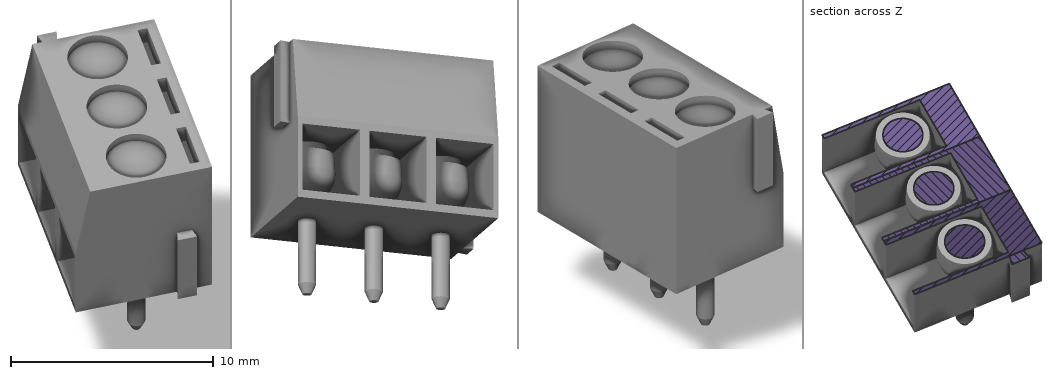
import cadquery as cq

POLE_COUNT = 3
PITCH = 3.5
BLOCK_WIDTH = POLE_COUNT * PITCH
DEPTH = 7.0
TOTAL_HEIGHT = 12.2
PIN_LENGTH = 3.8
HEIGHT = TOTAL_HEIGHT - PIN_LENGTH
HALF_HEIGHT = HEIGHT / 2
AXIS_Y = 3.6

SLOPE_SETBACK = 0.75

ENTRY_WIDTH = 3.0
ENTRY_FLOOR = 0.39
ENTRY_CEILING = 3.82
ENTRY_DEPTH = 5.25

RECESS_DIAMETER = 3.0
RECESS_DEPTH = 0.5
SLOT_LENGTH = 2.5
SLOT_WIDTH = 0.5
SLOT_DEPTH = 1.0
SLOT_BACK_WALL = 0.5

NECK_RADIUS = 2.0 / 2
CLAMP_RADIUS = 1.4
CLAMP_BOTTOM = 1.0
CLAMP_EQUATOR = CLAMP_BOTTOM + CLAMP_RADIUS
CLAMP_TOP = 3.4
CLAMP_TOP_RADIUS = 1.33

PIN_DIAMETER = 0.9
PIN_TIP_DIAMETER = PIN_DIAMETER / 2
PIN_TIP_LENGTH = 0.5

KEY_PROJECTION = 0.5
KEY_OUTER_WIDTH = 1.0
KEY_ROOT_WIDTH = 0.76
LEFT_KEY_Y = 1.63
RIGHT_KEY_Y = 5.59


def make_clamp(center_x):
    """Hemisphere below a gently narrowing barrel and a cylindrical neck."""
    barrel_height = CLAMP_TOP - CLAMP_EQUATOR
    return (
        cq.Workplane("XZ")
        .moveTo(0, CLAMP_BOTTOM)
        .radiusArc((CLAMP_RADIUS, CLAMP_EQUATOR), -CLAMP_RADIUS)
        .tangentArcPoint((CLAMP_TOP_RADIUS - CLAMP_RADIUS, barrel_height))
        .lineTo(NECK_RADIUS, CLAMP_TOP)
        .lineTo(NECK_RADIUS, ENTRY_CEILING)
        .lineTo(0, ENTRY_CEILING)
        .close()
        .revolve(360, (0, 0, 0), (0, 1, 0))
        .translate((center_x, AXIS_Y, 0))
    )


def make_housing(center_x):
    """One pole of the block, including its clamp."""
    shell = (
        cq.Workplane("YZ")
        .moveTo(0, 0)
        .lineTo(DEPTH, 0)
        .lineTo(DEPTH, HEIGHT)
        .lineTo(SLOPE_SETBACK, HEIGHT)
        .lineTo(0, HALF_HEIGHT)
        .close()
        .extrude(PITCH / 2, both=True)
        .translate((center_x, 0, 0))
    )
    entry = (
        cq.Workplane("XY")
        .box(ENTRY_WIDTH, ENTRY_DEPTH, ENTRY_CEILING - ENTRY_FLOOR, centered=(True, False, False))
        .translate((center_x, 0, ENTRY_FLOOR))
    )
    recess = (
        cq.Workplane("XY", origin=(center_x, AXIS_Y, HEIGHT))
        .circle(RECESS_DIAMETER / 2)
        .extrude(-RECESS_DEPTH)
    )
    slot_y = DEPTH - SLOT_BACK_WALL - SLOT_WIDTH / 2
    slot = (
        cq.Workplane("XY", origin=(center_x, slot_y, HEIGHT))
        .rect(SLOT_LENGTH, SLOT_WIDTH)
        .extrude(-SLOT_DEPTH)
    )
    return shell.cut(entry).cut(recess).cut(slot).union(make_clamp(center_x))


def make_pin(center_x):
    """Round solder pin with a conical tip, seated on the housing underside."""
    return (
        cq.Workplane("XZ")
        .moveTo(0, 0)
        .lineTo(PIN_DIAMETER / 2, 0)
        .lineTo(PIN_DIAMETER / 2, PIN_TIP_LENGTH - PIN_LENGTH)
        .lineTo(PIN_TIP_DIAMETER / 2, -PIN_LENGTH)
        .lineTo(0, -PIN_LENGTH)
        .close()
        .revolve(360, (0, 0, 0), (0, 1, 0))
        .translate((center_x, AXIS_Y, 0))
    )


def make_key(side, center_y, bottom_z):
    """Dovetail key on an end face; side is -1 for -X and +1 for +X."""
    root_x = side * BLOCK_WIDTH / 2
    outer_x = root_x + side * KEY_PROJECTION
    return (
        cq.Workplane("XY", origin=(0, center_y, bottom_z))
        .moveTo(root_x, -KEY_ROOT_WIDTH / 2)
        .lineTo(outer_x, -KEY_OUTER_WIDTH / 2)
        .lineTo(outer_x, KEY_OUTER_WIDTH / 2)
        .lineTo(root_x, KEY_ROOT_WIDTH / 2)
        .close()
        .extrude(HALF_HEIGHT)
    )


pole_centers = [(i - (POLE_COUNT - 1) / 2) * PITCH for i in range(POLE_COUNT)]
housings = [make_housing(x) for x in pole_centers]
pins = [make_pin(x) for x in pole_centers]
left_key = make_key(-1, LEFT_KEY_Y, HALF_HEIGHT)
right_key = make_key(1, RIGHT_KEY_Y, 0)

result = cq.Compound.makeCompound(
    [
        *[housing.val() for housing in housings],
        *[pin.val() for pin in pins],
        left_key.val(),
        right_key.val(),
    ]
)